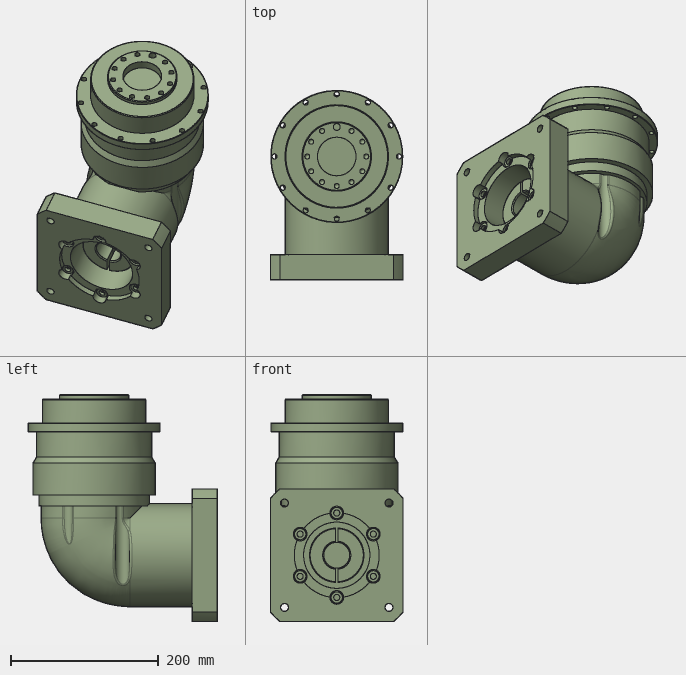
import cadquery as cq
import math

total_height = 307.7

plate_size = 180.0
plate_thickness = 34.2
plate_front_y = -167.0
plate_corner_radius = 118.5
plate_hole_pitch = 141.5
plate_hole_radius = 5.2
plate_back_y = plate_front_y + plate_thickness
input_axis_z = plate_size / 2

tube_radius = 70.2
neck_axis_y = 2.0
heel_radius = 50.2
neck_top_z = 172.3

collar_bottom_z = 157.0
collar_radius = 75.0
drum_bottom_z = 171.5
drum_radius = 83.0
drum_cone_bottom_z = 214.8
drum_cone_top_z = 223.0
body_radius = 78.2
flange_bottom_z = 257.2
flange_top_z = 269.2
flange_radius = 89.5
pilot_radius = 70.2
pilot_top_z = 302.0
output_radius = 47.0
edge_break = 1.2
flange_edge_break = 0.5

hole_count = 12
output_bore_radius = 26.2
output_bore_depth = 12.3
output_hole_circle = 40.0
output_hole_radius = 3.5
output_hole_depth = 15.5
drill_point_angle = 118
pin_hole_angle = 90
pin_hole_radius = 4.5
flange_hole_circle = 84.3
flange_hole_radius = 3.5

groove_circle = 77.0
groove_angles = (30, 150, 210, 330)
groove_radius = 9.5
groove_edge_round = 3.0
groove_box_margin = 0.3

recess_radius = 57.5
recess_depth = 8.0
bore_radius = 45.0
hub_gap_depth = 24.5
hub_radius = 37.0
hub_edge_break = 1.0
shaft_bore_radius = 17.5
shaft_bore_chamfer = 1.5
shaft_bore_depth = 37.0
clamp_slot_width = 3.7

screw_count = 6
screw_circle = 57.2
screw_pocket_radius = 9.2
screw_pocket_depth = 17.0
screw_head_radius = 7.7
screw_head_recess = 10.0
screw_socket_radius = 4.15
screw_socket_depth = 4.5


def input_disc(radius, start_y, length):
    """Cylinder on the input axis, running from start_y towards +Y."""
    return cq.Workplane("XY").add(
        cq.Solid.makeCylinder(radius, length, cq.Vector(0, start_y, input_axis_z), cq.Vector(0, 1, 0))
    )


def vertical_disc(radius, y, bottom_z, top_z):
    """Cylinder parallel to Z with its axis at x = 0."""
    return cq.Workplane("XY", origin=(0, y, bottom_z)).circle(radius).extrude(top_z - bottom_z)


def vertical_holes(points, radius, top_z, depth):
    """Set of flat-ended vertical cutters going down from top_z."""
    return cq.Workplane("XY", origin=(0, 0, top_z)).pushPoints(points).circle(radius).extrude(-depth)


def drilled_holes(points, radius, top_z, depth):
    """Vertical drills whose full-diameter depth ends in a conical drill point."""
    point_length = radius / math.tan(math.radians(drill_point_angle / 2))
    drill = (
        cq.Workplane("XZ")
        .polyline([(0, 0), (radius, 0), (radius, -depth), (0, -depth - point_length)])
        .close()
        .revolve(360, (0, 0, 0), (0, 1, 0))
    )
    return cq.Workplane("XY", origin=(0, 0, top_z)).pushPoints(points).eachpoint(drill.val(), combine="a")


def ring_points(radius, angles):
    return [
        (radius * math.cos(math.radians(a)), radius * math.sin(math.radians(a)))
        for a in angles
    ]


def make_bend(radius):
    """Quarter turn joining the neck axis to the input axis, with the given axis radius."""
    half_chord = math.sqrt(tube_radius**2 - radius**2)
    return (
        cq.Workplane("XY", origin=(0, neck_axis_y - radius, input_axis_z + radius))
        .moveTo(-half_chord, 0)
        .threePointArc((0, radius + tube_radius), (half_chord, 0))
        .close()
        .revolve(90, (0, 0, 0), (-1, 0, 0))
    )


def cut_groove(elbow, x, y):
    """Mill one vertical groove into the elbow and round the lip it leaves."""
    elbow = elbow.cut(vertical_holes([(x, y)], groove_radius, neck_top_z, neck_top_z))
    reach = groove_radius + groove_box_margin
    lip_box = cq.selectors.BoxSelector(
        (x - reach, y - reach, 0), (x + reach, y + reach, neck_top_z + reach), boundingbox=True
    )
    return elbow.edges(lip_box).edges("not(>Z)").fillet(groove_edge_round)


def make_elbow():
    heel_center_y = neck_axis_y - heel_radius
    heel_center_z = input_axis_z + heel_radius
    tube = input_disc(tube_radius, plate_back_y, heel_center_y - plate_back_y)
    neck = vertical_disc(tube_radius, neck_axis_y, heel_center_z, neck_top_z)
    elbow = make_bend(heel_radius).union(tube).union(neck)
    for x, y in ring_points(groove_circle, groove_angles):
        elbow = cut_groove(elbow, x, y)
    return elbow


def make_tower():
    profile = [
        (0, collar_bottom_z),
        (collar_radius, collar_bottom_z),
        (collar_radius, drum_bottom_z),
        (drum_radius, drum_bottom_z),
        (drum_radius, drum_cone_bottom_z),
        (body_radius, drum_cone_top_z),
        (body_radius, flange_bottom_z),
        (flange_radius - flange_edge_break, flange_bottom_z),
        (flange_radius, flange_bottom_z + flange_edge_break),
        (flange_radius, flange_top_z - flange_edge_break),
        (flange_radius - flange_edge_break, flange_top_z),
        (pilot_radius, flange_top_z),
        (pilot_radius, pilot_top_z - edge_break),
        (pilot_radius - edge_break, pilot_top_z),
        (output_radius, pilot_top_z),
        (output_radius, total_height - edge_break),
        (output_radius - edge_break, total_height),
        (0, total_height),
    ]
    tower = cq.Workplane("XZ").polyline(profile).close().revolve(360, (0, 0, 0), (0, 1, 0))

    angles = [i * 360 / hole_count for i in range(hole_count)]
    output_angles = [a for a in angles if a != pin_hole_angle]
    flange_thickness = flange_top_z - flange_bottom_z
    tower = tower.cut(vertical_disc(output_bore_radius, 0, total_height - output_bore_depth, total_height))
    tower = tower.cut(drilled_holes(
        ring_points(output_hole_circle, output_angles), output_hole_radius, total_height, output_hole_depth
    ))
    tower = tower.cut(vertical_holes(
        ring_points(output_hole_circle, [pin_hole_angle]), pin_hole_radius, total_height, output_hole_depth
    ))
    return tower.cut(vertical_holes(
        ring_points(flange_hole_circle, angles), flange_hole_radius, flange_top_z, flange_thickness
    ))


def make_plate():
    plate = cq.Workplane("XY").box(plate_size, plate_thickness, plate_size).translate(
        (0, plate_front_y + plate_thickness / 2, input_axis_z)
    )
    plate = plate.intersect(input_disc(plate_corner_radius, plate_front_y, plate_thickness))
    holes = (
        cq.Workplane("XZ", origin=(0, plate_front_y, input_axis_z))
        .rect(plate_hole_pitch, plate_hole_pitch, forConstruction=True)
        .vertices()
        .circle(plate_hole_radius)
        .extrude(-plate_thickness)
    )
    return plate.cut(holes)


def make_hub():
    """Split clamping hub whose face is level with the back of the plate."""
    hub = input_disc(hub_radius, plate_back_y, hub_gap_depth).faces("<Y").chamfer(hub_edge_break)
    slot = cq.Workplane("XY").box(clamp_slot_width, hub_gap_depth, 2 * hub_radius).translate(
        (0, plate_back_y + hub_gap_depth / 2, input_axis_z)
    )
    return hub.cut(slot)


def make_shaft_bore():
    bore = input_disc(shaft_bore_radius, plate_back_y, shaft_bore_depth)
    mouth = cq.Workplane("XY").add(cq.Solid.makeCone(
        shaft_bore_radius + shaft_bore_chamfer, shaft_bore_radius, shaft_bore_chamfer,
        cq.Vector(0, plate_back_y, input_axis_z), cq.Vector(0, 1, 0),
    ))
    return bore.union(mouth)


def screw_discs(radius, depth, length):
    """One cylinder per screw, starting at a depth below the plate front."""
    return (
        cq.Workplane("XZ", origin=(0, plate_front_y + depth, input_axis_z))
        .polarArray(screw_circle, 90, 360, screw_count)
        .circle(radius)
        .extrude(-length)
    )


def cut_motor_side(part):
    bore_depth = plate_thickness + hub_gap_depth
    part = part.cut(input_disc(recess_radius, plate_front_y, recess_depth))
    part = part.cut(input_disc(bore_radius, plate_front_y, bore_depth))
    part = part.union(make_hub()).cut(make_shaft_bore())
    part = part.cut(screw_discs(screw_pocket_radius, 0, screw_pocket_depth))
    head_height = screw_pocket_depth - screw_head_recess
    part = part.union(screw_discs(screw_head_radius, screw_head_recess, head_height))
    return part.cut(screw_discs(screw_socket_radius, screw_head_recess, screw_socket_depth))


result = cut_motor_side(make_elbow().union(make_tower()).union(make_plate()))